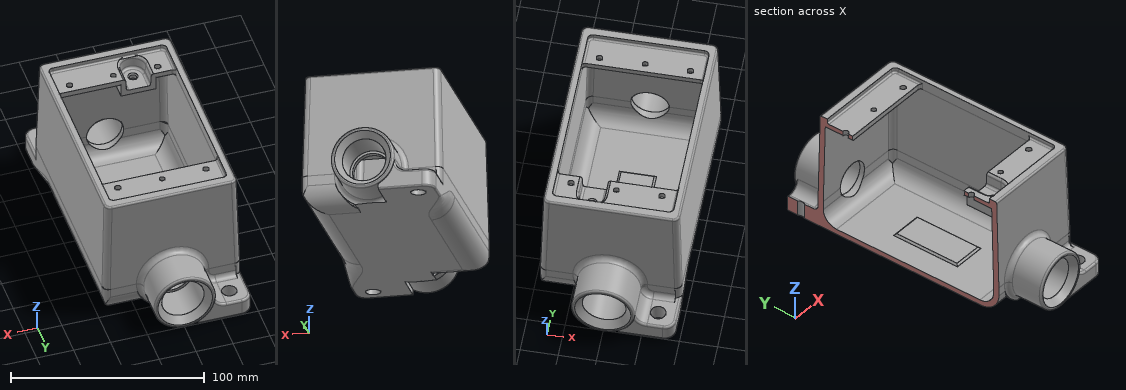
import cadquery as cq
import math


WIDTH = 74.35
LENGTH_OVER_HUBS = 162.72
HEIGHT = 73.03

BODY_LENGTH = 119.5
DRAFT = 1.5
PARTING_Z = 17.6
BODY_CORNER_RADIUS = 3.4
RIM_FILLET = 1.0
BOTTOM_ROUND = 12.2

OPENING_WIDTH = 63.5
FLOOR_THICKNESS = 3.5
END_WALL = 3.8
CAVITY_CORNER_RADIUS = 3.2
CAVITY_BOTTOM_ROUND = BOTTOM_ROUND - FLOOR_THICKNESS

RECESS_LENGTH = 106.7
RECESS_DEPTH = 3.0
RECESS_CORNER_RADIUS = 2.6
RECESS_FILLET = 1.0
SHELF_THICKNESS = 3.0
SHELF_GAP = 73.2
SHELF_GAP_CORNER_RADIUS = 1.7
CENTER_SCREW_DIAMETER = 2.87
CENTER_SCREW_Y = 41.75
CORNER_SCREW_DIAMETER = 3.3
CORNER_SCREW_X = 23.85
CORNER_SCREW_Y = 41.4

GROUND_X = -12.0
GROUND_Y = -46.15
GROUND_POCKET_RADIUS = 6.5
GROUND_POCKET_DRAFT = 3.0
GROUND_POCKET_DEPTH = 7.7
GROUND_TOP_FILLET = 1.6
GROUND_FLOOR_FILLET = 1.4
GROUND_BOSS_WALL = 3.0
GROUND_SCREW_DIAMETER = 3.8
GROUND_COUNTERSINK_DIAMETER = 5.2

PAD_WIDTH = 19.5
PAD_LENGTH = 42.0
PAD_HEIGHT = 1.1

HUB_RADIUS = 16.6
HUB_RIM_FILLET = 1.0
FLARE_RADIUS = 3.0
BLEND_RIM = 0.2
BORE_DIAMETER = 22.94
THROAT_DIAMETER = 20.12
THROAT_LENGTH = 3.0
MOUTH_DIAMETER = 29.5
MOUTH_TAPER_DEPTH = 4.0

TAB_END_Y = 79.9
TAB_THICKNESS = 9.6
TAB_CORNER_RADIUS = 6.0
TAB_EDGE_FILLET = 1.2
TAB_BOTTOM_FILLET = 0.9
TAB_FILLET_X = 22.9
TAB_ROOT_X = 34.3
TAB_INNER_X = -8.0
TAB_HOLE_DIAMETER = 7.92
TAB_HOLE_X = 27.2
TAB_HOLE_Y = 70.7

RUNOUT_START_Y = 33.0
RUNOUT_END_Y = 68.0
RUNOUT_STEPS = 8

BEVEL_ANGLE = 45
MARGIN = 2.0

HALF_WIDTH = WIDTH / 2
BODY_END_Y = BODY_LENGTH / 2
HUB_END_Y = LENGTH_OVER_HUBS / 2
CAVITY_LENGTH = BODY_LENGTH - 2 * END_WALL
CAVITY_END_Y = CAVITY_LENGTH / 2
SHELF_TOP_Z = HEIGHT - RECESS_DEPTH
SHELF_BOTTOM_Z = SHELF_TOP_Z - SHELF_THICKNESS
CAVITY_WIDTH = OPENING_WIDTH + 2 * (SHELF_BOTTOM_Z - PARTING_Z) * math.tan(math.radians(DRAFT))
FLARE_OUTER_RADIUS = HUB_RADIUS + FLARE_RADIUS


def half_turn(shape):
    return shape.rotate((0, 0, 0), (0, 0, 1), 180)


def upright_block(width, length, bottom_z, top_z, corner_radius):
    block = cq.Workplane("XY", origin=(0, 0, bottom_z)).rect(width, length).extrude(top_z - bottom_z)
    return block.edges("|Z").fillet(corner_radius)


def hole(x, y, diameter, bottom_z, top_z):
    return cq.Workplane("XY", origin=(x, y, bottom_z)).circle(diameter / 2).extrude(top_z - bottom_z)


def round_bottomed_bar(plane, width, length):
    """Bar from the cavity floor to the rim, its two lower long edges rounded."""
    bar_height = HEIGHT - FLOOR_THICKNESS
    bar = cq.Workplane(plane).center(0, FLOOR_THICKNESS + bar_height / 2).rect(width, bar_height)
    bar = bar.extrude(length / 2, both=True)
    long_axis = "|Y" if plane == "XZ" else "|X"
    return bar.edges(long_axis + " and <Z").fillet(CAVITY_BOTTOM_ROUND)


def drafted_block(width, length, bottom_z, top_z):
    """Upright block up to the parting height and the block above it, drafted inwards."""
    base = cq.Workplane("XY", origin=(0, 0, bottom_z)).rect(width, length)
    base = base.extrude(PARTING_Z - bottom_z)
    upper = cq.Workplane("XY", origin=(0, 0, PARTING_Z)).rect(width, length)
    upper = upper.extrude(top_z - PARTING_Z, taper=DRAFT)
    return base, upper


def rounded_drafted_block(width, length, top_z, corner_radius):
    base, upper = drafted_block(width, length, 0, top_z)
    upright_edges = "not(|X or |Y)"
    base = base.edges(upright_edges).fillet(corner_radius)
    upper = upper.edges(upright_edges).fillet(corner_radius)
    return base.union(upper)


def make_body():
    body = rounded_drafted_block(WIDTH, BODY_LENGTH, HEIGHT, BODY_CORNER_RADIUS)
    return body.faces(">Z").edges().fillet(RIM_FILLET)


def tab_bar():
    """Bar with the tab's cross-section at the -X, +Y corner, rising to the hub in a concave arc."""
    drop = PARTING_Z - TAB_THICKNESS
    rise_radius = (TAB_FILLET_X**2 + drop**2 - HUB_RADIUS**2) / (2 * (HUB_RADIUS + drop))
    rise_center_z = TAB_THICKNESS + rise_radius
    share = HUB_RADIUS / (HUB_RADIUS + rise_radius)
    tangent_x = -TAB_FILLET_X * share
    tangent_z = PARTING_Z + (rise_center_z - PARTING_Z) * share
    return (
        cq.Workplane("XZ", origin=(0, TAB_END_Y, 0))
        .moveTo(TAB_INNER_X, 0)
        .lineTo(-HALF_WIDTH, 0)
        .lineTo(-HALF_WIDTH, TAB_THICKNESS)
        .lineTo(-TAB_FILLET_X, TAB_THICKNESS)
        .tangentArcPoint((tangent_x, tangent_z), relative=False)
        .lineTo(TAB_INNER_X, tangent_z)
        .close()
        .extrude(TAB_END_Y - CAVITY_END_Y)
    )


def make_tab():
    """Tab with its corner and edges rounded."""
    tab = tab_bar().edges("|Z and <X and >Y").fillet(TAB_CORNER_RADIUS)
    top_edge_point = (-TAB_FILLET_X, TAB_END_Y, TAB_THICKNESS)
    tab = tab.edges(cq.selectors.NearestToPointSelector(top_edge_point)).fillet(TAB_EDGE_FILLET)
    bottom_edge_point = (-TAB_FILLET_X, TAB_END_Y, 0)
    return tab.edges(cq.selectors.NearestToPointSelector(bottom_edge_point)).fillet(TAB_BOTTOM_FILLET)


def cut_tab_hole(box):
    tab_hole = hole(-TAB_HOLE_X, TAB_HOLE_Y, TAB_HOLE_DIAMETER, -MARGIN, TAB_THICKNESS + MARGIN)
    return box.cut(tab_hole).cut(half_turn(tab_hole))


def hub_cylinder(radius, end_y):
    start_y = CAVITY_END_Y - MARGIN
    return cq.Workplane("XZ", origin=(0, start_y, PARTING_Z)).circle(radius).extrude(start_y - end_y)


def z_slab(bottom_z, top_z):
    slab = cq.Workplane("XY", origin=(0, 0, bottom_z)).rect(2 * WIDTH, 2 * LENGTH_OVER_HUBS)
    return slab.extrude(top_z - bottom_z)


def make_end_blend():
    """Concave blend where the +Y hub and its tab meet the end wall."""
    end_y = BODY_END_Y + 2 * FLARE_RADIUS
    split_z = TAB_THICKNESS - MARGIN
    base, upper = drafted_block(WIDTH, BODY_LENGTH, split_z, HEIGHT)
    blend = base.union(upper).union(hub_cylinder(HUB_RADIUS, end_y)).union(tab_bar())
    blend = blend.intersect(z_slab(split_z, HEIGHT))
    near_wall = cq.selectors.BoxSelector(
        (-HALF_WIDTH, BODY_END_Y - MARGIN, split_z + MARGIN / 2),
        (HALF_WIDTH, BODY_END_Y + MARGIN, HEIGHT - MARGIN),
    )
    seam = blend.edges(near_wall)
    blend = seam.edges("%CIRCLE or %ELLIPSE or (%LINE and <Z)").fillet(FLARE_RADIUS)

    kept = hub_cylinder(FLARE_OUTER_RADIUS + BLEND_RIM, end_y)
    tab_root = cq.Workplane("XY").box(
        TAB_ROOT_X, end_y - CAVITY_END_Y, PARTING_Z - MARGIN, centered=False
    )
    kept = kept.union(tab_root.translate((-TAB_ROOT_X, CAVITY_END_Y, 0)))
    return blend.intersect(kept)


def make_lower_flare():
    """Flared root of the +Y hub below the tab's top, where the end wall is upright."""
    flare = (
        cq.Workplane("XY", origin=(0, 0, PARTING_Z))
        .moveTo(0, CAVITY_END_Y - MARGIN)
        .lineTo(FLARE_OUTER_RADIUS, CAVITY_END_Y - MARGIN)
        .lineTo(FLARE_OUTER_RADIUS, BODY_END_Y)
        .radiusArc((HUB_RADIUS, BODY_END_Y + FLARE_RADIUS), FLARE_RADIUS)
        .lineTo(0, BODY_END_Y + FLARE_RADIUS)
        .close()
        .revolve(360, (0, 0, 0), (0, 1, 0))
    )
    return flare.intersect(z_slab(0, TAB_THICKNESS - MARGIN))


def edge_section(y, radius):
    """What lies outside a rounded lower -X edge, as a closed wire across Y."""
    return (
        cq.Workplane("XZ", origin=(0, y, 0))
        .moveTo(-HALF_WIDTH - MARGIN, -MARGIN)
        .lineTo(-HALF_WIDTH + radius, -MARGIN)
        .lineTo(-HALF_WIDTH + radius, 0)
        .radiusArc((-HALF_WIDTH, radius), radius)
        .lineTo(-HALF_WIDTH - MARGIN, radius)
        .close()
    )


def make_edge_rounding():
    """Cutter for the lower -X edge, fading out towards the +Y tab, and the lower -Y edge."""
    start_y = -BODY_END_Y - MARGIN
    step_length = (RUNOUT_END_Y - RUNOUT_START_Y) / RUNOUT_STEPS
    wires = [edge_section(RUNOUT_START_Y - step_length, BOTTOM_ROUND).wire().val()]
    for step in range(RUNOUT_STEPS):
        t = step / RUNOUT_STEPS
        radius = BOTTOM_ROUND * (1 - 3 * t**2 + 2 * t**3)
        wires.append(edge_section(RUNOUT_START_Y + step * step_length, radius).wire().val())
    side = edge_section(RUNOUT_START_Y - step_length, BOTTOM_ROUND)
    side = side.extrude(RUNOUT_START_Y - step_length - start_y)
    runout = cq.Workplane(cq.Solid.makeLoft(wires))

    round_length = HALF_WIDTH - HUB_RADIUS / 2
    end = cq.Workplane("XY").box(
        round_length + MARGIN, BOTTOM_ROUND + MARGIN, BOTTOM_ROUND + MARGIN, centered=False
    )
    end = end.translate((-HALF_WIDTH - MARGIN, -BODY_END_Y - MARGIN, -MARGIN))
    rounding_axis = cq.Workplane("YZ", origin=(-HALF_WIDTH - 2 * MARGIN, 0, 0))
    kept = rounding_axis.center(-BODY_END_Y + BOTTOM_ROUND, BOTTOM_ROUND).circle(BOTTOM_ROUND)
    end = end.cut(kept.extrude(round_length + 4 * MARGIN))
    return side, runout, end


def make_hub():
    """Hub at the +Y end with its blends into the end wall."""
    hub = hub_cylinder(HUB_RADIUS, HUB_END_Y).faces(">Y").edges().fillet(HUB_RIM_FILLET)
    return hub.union(make_end_blend()).union(make_lower_flare())


def make_hub_bore():
    """Tapered mouth, bore and narrower throat of the +Y hub, as a cutter."""
    throat_end_y = CAVITY_END_Y + THROAT_LENGTH
    return (
        cq.Workplane("XY", origin=(0, 0, PARTING_Z))
        .moveTo(0, CAVITY_END_Y - MARGIN)
        .lineTo(THROAT_DIAMETER / 2, CAVITY_END_Y - MARGIN)
        .lineTo(THROAT_DIAMETER / 2, throat_end_y)
        .lineTo(BORE_DIAMETER / 2, throat_end_y)
        .lineTo(BORE_DIAMETER / 2, HUB_END_Y - MOUTH_TAPER_DEPTH)
        .lineTo(MOUTH_DIAMETER / 2, HUB_END_Y)
        .lineTo(0, HUB_END_Y)
        .close()
        .revolve(360, (0, 0, 0), (0, 1, 0))
    )


def make_cavity():
    """Round-bottomed main cavity below the shelves, the gap between them and the rim recess."""
    block = rounded_drafted_block(CAVITY_WIDTH, CAVITY_LENGTH, SHELF_BOTTOM_Z, CAVITY_CORNER_RADIUS)
    along = round_bottomed_bar("XZ", CAVITY_WIDTH, CAVITY_LENGTH)
    across = round_bottomed_bar("YZ", CAVITY_LENGTH, CAVITY_WIDTH)
    main = block.intersect(along).intersect(across)

    gap_bottom_z = SHELF_BOTTOM_Z - MARGIN
    gap = upright_block(OPENING_WIDTH, SHELF_GAP, gap_bottom_z, HEIGHT, SHELF_GAP_CORNER_RADIUS)
    recess = upright_block(OPENING_WIDTH, RECESS_LENGTH, SHELF_TOP_Z, HEIGHT, RECESS_CORNER_RADIUS)
    recess = recess.faces("<Z").edges().fillet(RECESS_FILLET)
    return main.union(gap).union(recess)


def make_pad():
    pad = cq.Workplane("XY", origin=(0, 0, FLOOR_THICKNESS)).rect(PAD_WIDTH, PAD_LENGTH)
    return pad.extrude(PAD_HEIGHT, taper=BEVEL_ANGLE)


def ground_slot(radius, bottom_z, top_z, start_y, draft=0):
    """U-shaped column around the ground screw, open towards +Y up to start_y."""
    return (
        cq.Workplane("XY", origin=(GROUND_X, 0, bottom_z))
        .moveTo(-radius, start_y)
        .lineTo(-radius, GROUND_Y)
        .threePointArc((0, GROUND_Y - radius), (radius, GROUND_Y))
        .lineTo(radius, start_y)
        .close()
        .extrude(top_z - bottom_z, taper=-draft)
    )


def make_ground_boss():
    """Block under the -Y shelf, carrying the ground screw pocket."""
    floor_z = SHELF_TOP_Z - GROUND_POCKET_DEPTH
    bottom_z = floor_z - GROUND_BOSS_WALL
    half = GROUND_POCKET_RADIUS + GROUND_BOSS_WALL
    front_y = -SHELF_GAP / 2
    back_y = -BODY_END_Y + MARGIN
    boss = cq.Workplane("XY").box(
        2 * half, front_y - back_y, SHELF_TOP_Z - bottom_z, centered=(True, False, False)
    )
    boss = boss.translate((GROUND_X, back_y, bottom_z))
    slot = ground_slot(GROUND_POCKET_RADIUS, floor_z, SHELF_TOP_Z, front_y + MARGIN, GROUND_POCKET_DRAFT)
    slot = slot.faces("<Z").edges("not >Y").fillet(GROUND_FLOOR_FILLET)
    boss = boss.cut(slot)
    rim_point = (GROUND_X, GROUND_Y - GROUND_POCKET_RADIUS, SHELF_TOP_Z)
    boss = boss.edges(cq.selectors.NearestToPointSelector(rim_point)).fillet(GROUND_TOP_FILLET)
    screw = hole(GROUND_X, GROUND_Y, GROUND_SCREW_DIAMETER, bottom_z - MARGIN, floor_z + MARGIN)
    sink_depth = (GROUND_COUNTERSINK_DIAMETER - GROUND_SCREW_DIAMETER) / 2
    sink = cq.Workplane("XY", origin=(GROUND_X, GROUND_Y, floor_z)).circle(GROUND_COUNTERSINK_DIAMETER / 2)
    sink = sink.extrude(-sink_depth, taper=BEVEL_ANGLE)
    return boss.cut(screw).cut(sink)


def drill_shelves(box):
    spots = [(0, CENTER_SCREW_Y, CENTER_SCREW_DIAMETER)]
    for side in (-1, 1):
        spots.append((side * CORNER_SCREW_X, CORNER_SCREW_Y, CORNER_SCREW_DIAMETER))
    for x, y, diameter in spots:
        for end in (-1, 1):
            box = box.cut(hole(x, end * y, diameter, SHELF_BOTTOM_Z - MARGIN, SHELF_TOP_Z + MARGIN))
    return box


def make_box():
    box = make_body()
    tab = make_tab()
    hub = make_hub()
    bore = make_hub_bore()
    box = box.union(tab).union(half_turn(tab))
    for cutter in make_edge_rounding():
        box = box.cut(cutter).cut(half_turn(cutter))
    box = box.union(hub).union(half_turn(hub))
    box = cut_tab_hole(box)
    box = box.cut(make_cavity())
    box = box.cut(bore).cut(half_turn(bore))
    slot_opening = ground_slot(
        GROUND_POCKET_RADIUS + GROUND_TOP_FILLET, SHELF_BOTTOM_Z, SHELF_TOP_Z, -SHELF_GAP / 2
    )
    box = box.cut(slot_opening).union(make_ground_boss()).union(make_pad())
    return drill_shelves(box)


result = make_box()